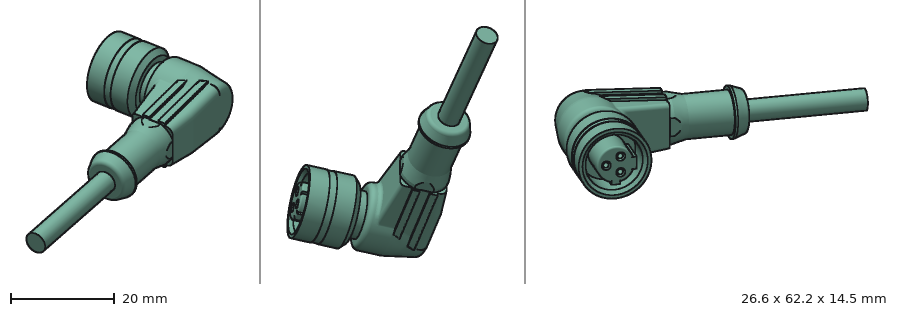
import cadquery as cq
import math


tolerance = 0.01

nut_front = 0.6
nut_radius = 7.25
nut_groove_start = 4.6
nut_groove_end = 6.1
nut_groove_depth = 0.1
nut_back = 11.2
nut_back_chamfer = 1.15
bore_radius = 5.7
bore_mouth_radius = 6.5
bore_mouth_depth = 0.75
bore_floor = 7.0
neck_radius = 4.75

insert_front = 0.0
insert_radius = 3.75
insert_edge_fillet = 0.4
key_reach = 4.2
key_edge_fillet = 0.3
side_key_width = 2.5
bottom_key_width = 1.65
contact_circle_radius = 1.9
contact_count = 3
contact_radius = 0.55
contact_mouth_radius = 0.9
contact_mouth_depth = 0.3
contact_depth = 3.0

housing_front = 13.0
housing_radius = 6.75
housing_front_fillet = 1.1
housing_taper_start = 18.95
housing_taper_angle = 10.0
housing_taper_blend = 5.0
housing_back = 26.6
housing_back_fillet = 1.7

cable_x = 21.08
handle_end = -14.95
handle_front_at_axis = 14.3
handle_front_at_end = 16.4
handle_back_bend = -8.9
handle_back_at_end = 25.8
panel_height_at_end = 4.7
rib_height_at_end = 5.27
face_slope = 4.0
handle_front_fillet = 0.9
handle_back_fillet = 1.6
seam_fillet = 0.8
front_rib = (18.85, 20.35)
back_rib = (22.4, 23.95)
back_rib_start = -0.6
rib_level_start = -1.45

collar_radius = 5.15
collar_taper_start = -15.9
collar_taper_end = -18.85
collar_flat_distance = 4.8
sleeve_radius = 4.42
ring_start = -27.9
ring_rim_end = -28.4
ring_taper_end = -30.3
ring_end = -31.0
ring_radius = 5.2
ring_small_radius = 4.5
ring_face_radius = 3.55
cable_radius = 2.2
total_length = 62.25
cable_end = nut_radius - total_length


def turn_about_x(profile):
    return profile.close().revolve(360, (0, 0, 0), (1, 0, 0))


def make_nut():
    groove_radius = nut_radius - nut_groove_depth
    return turn_about_x(
        cq.Workplane("XY")
        .moveTo(bore_floor, 0)
        .lineTo(bore_floor, bore_radius)
        .lineTo(nut_front + bore_mouth_depth, bore_radius)
        .lineTo(nut_front, bore_mouth_radius)
        .lineTo(nut_front, nut_radius)
        .lineTo(nut_groove_start, nut_radius)
        .lineTo(nut_groove_start, groove_radius)
        .lineTo(nut_groove_end, groove_radius)
        .lineTo(nut_groove_end, nut_radius)
        .lineTo(nut_back - nut_back_chamfer, nut_radius)
        .lineTo(nut_back, nut_radius - nut_back_chamfer)
        .lineTo(nut_back, neck_radius)
        .lineTo(housing_front, neck_radius)
        .lineTo(housing_front, 0)
    )


def make_insert():
    length = bore_floor - insert_front
    insert = cq.Workplane("YZ", origin=(insert_front, 0, 0)).circle(insert_radius).extrude(length)
    insert = insert.faces("<X").edges().fillet(insert_edge_fillet)
    side_key = cq.Workplane("XY").box(length, key_reach, side_key_width, centered=(False, False, True))
    bottom_key = cq.Workplane("XY").box(length, bottom_key_width, key_reach, centered=(False, True, False))
    side_key = side_key.faces("<X").edges("<Y").fillet(key_edge_fillet)
    bottom_key = bottom_key.translate((0, 0, -key_reach)).faces("<X").edges("<Z").fillet(key_edge_fillet)
    insert = insert.union(side_key.translate((insert_front, -key_reach, 0)))
    insert = insert.union(bottom_key.translate((insert_front, 0, 0)))
    contact_hole = turn_about_x(
        cq.Workplane("XY")
        .moveTo(insert_front, 0)
        .lineTo(insert_front, contact_mouth_radius)
        .lineTo(insert_front + contact_mouth_depth, contact_radius)
        .lineTo(insert_front + contact_depth, contact_radius)
        .lineTo(insert_front + contact_depth, 0)
    ).translate((0, contact_circle_radius, 0))
    for index in range(contact_count):
        insert = insert.cut(contact_hole.rotate((0, 0, 0), (1, 0, 0), index * 360 / contact_count))
    return insert


def make_housing():
    taper_length = housing_back - housing_taper_start
    back_radius = housing_radius - taper_length * math.tan(math.radians(housing_taper_angle))
    housing = turn_about_x(
        cq.Workplane("XY")
        .moveTo(housing_front, 0)
        .lineTo(housing_front, housing_radius)
        .lineTo(housing_taper_start, housing_radius)
        .lineTo(housing_back, back_radius)
        .lineTo(housing_back, 0)
    )
    housing = housing.faces("<X").edges().fillet(housing_front_fillet)
    taper_circle = housing.edges().filter(lambda edge: abs(edge.Center().x - housing_taper_start) < tolerance)
    housing = housing.newObject(taper_circle.vals()).fillet(housing_taper_blend)
    return housing.faces(">X").edges().fillet(housing_back_fillet)


def make_wedge(height_at_end):
    """Solid across the whole handle whose upper and lower faces close in towards the cable."""
    height_at_axis = height_at_end - handle_end * math.tan(math.radians(face_slope))
    return (
        cq.Workplane("YZ")
        .polyline([
            (0, -height_at_axis),
            (0, height_at_axis),
            (handle_end, height_at_end),
            (handle_end, -height_at_end),
        ])
        .close()
        .extrude(housing_back)
    )


def shape_from_outline(outline, height_at_end):
    """Prism on an XY outline, bounded above and below by the sloping faces."""
    prism = cq.Workplane("XY").polyline(outline).close().extrude(housing_radius, both=True)
    return prism.intersect(make_wedge(height_at_end))


def make_handle():
    handle = shape_from_outline(
        [
            (handle_front_at_axis, 0),
            (housing_back, 0),
            (housing_back, handle_back_bend),
            (handle_back_at_end, handle_end),
            (handle_front_at_end, handle_end),
        ],
        panel_height_at_end,
    )
    handle = handle.faces("<X").edges(">Z or <Z").fillet(handle_front_fillet)
    back_edges = handle.edges().filter(
        lambda edge: edge.Center().x > handle_back_at_end
        and abs(edge.Center().z) > panel_height_at_end
    )
    handle = handle.newObject(back_edges.vals()).fillet(handle_back_fillet)
    return handle


def make_ribs():
    """Two ribs on each sloping face, levelling off where they run into the housing."""
    front_rib_outline = [
        (front_rib[0], handle_end),
        (front_rib[0], 0),
        (front_rib[1], 0),
        (front_rib[1], handle_end),
    ]
    back_rib_outline = [
        (back_rib[0], handle_end),
        (back_rib[0], back_rib_start),
        (back_rib[1], 0),
        (back_rib[1], handle_end),
    ]
    ribs = shape_from_outline(front_rib_outline, rib_height_at_end)
    ribs = ribs.union(shape_from_outline(back_rib_outline, rib_height_at_end))
    rise = (rib_level_start - handle_end) * math.tan(math.radians(face_slope))
    level_height = rib_height_at_end + rise
    level_limit = cq.Workplane("XY").box(2 * housing_back, 2 * abs(handle_end), 2 * level_height)
    return ribs.intersect(level_limit)


def make_elbow():
    """Housing and handle joined, with the front part of their seam rounded."""
    elbow = make_housing().union(make_handle())
    seam = elbow.edges().filter(
        lambda edge: handle_front_at_axis < edge.Center().x < cable_x
        and -housing_radius < edge.Center().y < -tolerance
    )
    return elbow.newObject(seam.vals()).fillet(seam_fillet)


def turn_about_cable(profile):
    turned = profile.close().revolve(360, (0, 0, 0), (0, 1, 0))
    return turned.translate((cable_x, 0, 0))


def make_collar():
    collar = turn_about_cable(
        cq.Workplane("XY")
        .moveTo(0, handle_end)
        .lineTo(collar_radius, handle_end)
        .lineTo(collar_radius, collar_taper_start)
        .lineTo(sleeve_radius, collar_taper_end)
        .lineTo(0, collar_taper_end)
    )
    flats = cq.Workplane("XZ", origin=(cable_x, 0, 0)).rect(
        2 * collar_flat_distance, 2 * collar_flat_distance
    )
    return collar.intersect(flats.extrude(-collar_taper_end))


def make_sleeve_and_cable():
    corner_depth = (ring_taper_end - ring_end) * math.sqrt(0.5)
    corner_width = (ring_small_radius - ring_face_radius) * math.sqrt(0.5)
    return turn_about_cable(
        cq.Workplane("XY")
        .moveTo(0, collar_taper_end)
        .lineTo(sleeve_radius, collar_taper_end)
        .lineTo(sleeve_radius, ring_start)
        .lineTo(ring_radius, ring_start)
        .lineTo(ring_radius, ring_rim_end)
        .lineTo(ring_small_radius, ring_taper_end)
        .threePointArc(
            (ring_face_radius + corner_width, ring_taper_end - corner_depth),
            (ring_face_radius, ring_end),
        )
        .lineTo(cable_radius, ring_end)
        .lineTo(cable_radius, cable_end)
        .lineTo(0, cable_end)
    )


result = (
    make_nut()
    .union(make_insert())
    .union(make_elbow())
    .union(make_ribs())
    .union(make_collar())
    .union(make_sleeve_and_cable())
)